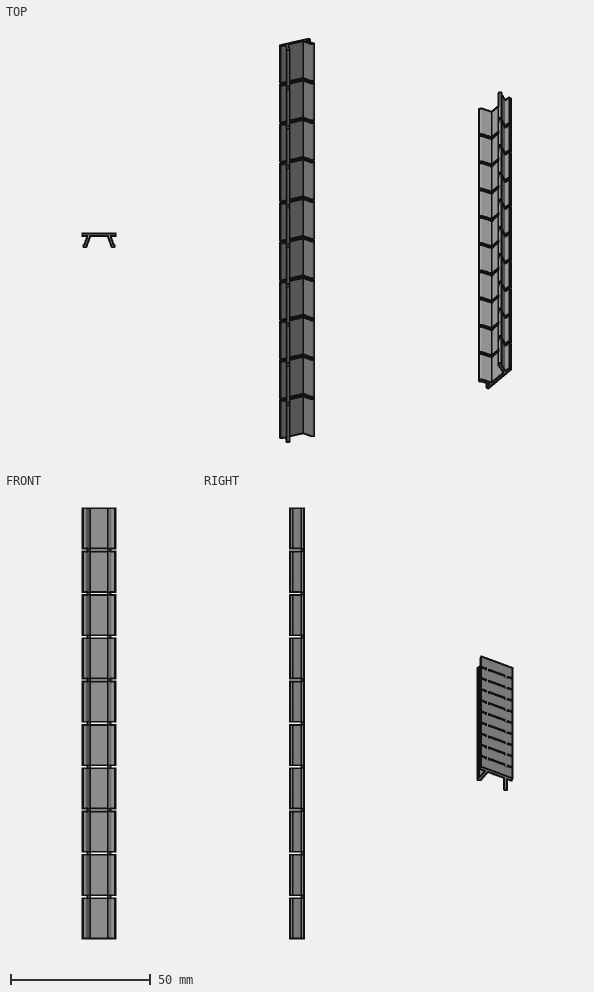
import cadquery as cq
import math

length = 154.0
plate_width = 12.0
depth = 5.1

wall = 1.0
leg_gap = 6.2
leg_splay = math.radians(20)
foot_slope = math.radians(20)
foot_span = 11.4
root_fillet = 0.23
bend_fillet = 0.3

segment_count = 10
slot_height = wall
segment_pitch = (length + slot_height) / segment_count

plate_front = -wall
leg_root_width = wall / math.cos(leg_splay)
leg_root_inner = leg_gap / 2
leg_root_outer = leg_root_inner + leg_root_width

tip_radius = wall / 2
tip_x = foot_span / 2 - tip_radius
tip_y = -depth + tip_radius
foot_direction = (math.cos(foot_slope), -math.sin(foot_slope))


def tip_point(forward, sideways):
    """Point of the tip circle, given along the foot and towards the plate in tip radii."""
    along_x, along_y = foot_direction
    return (
        tip_x + tip_radius * (forward * along_x - sideways * along_y),
        tip_y + tip_radius * (forward * along_y + sideways * along_x),
    )


def leg_foot_corner(leg_root_x, foot_point):
    """Point where a leg face starting at leg_root_x meets the foot face through foot_point."""
    leg_slope = math.tan(leg_splay)
    foot_x, foot_y = foot_point
    fall = math.tan(foot_slope)
    drop = (plate_front - foot_y + fall * (leg_root_x - foot_x)) / (1 - fall * leg_slope)
    return (leg_root_x + drop * leg_slope, plate_front - drop)


def edge_along_length(x, y):
    """Selector for the full-length edge that passes through (x, y)."""
    return cq.selectors.NearestToPointSelector((x, y, length / 2))


def make_plate():
    return cq.Workplane("XY").rect(plate_width, wall).extrude(length).translate((0, -wall / 2, 0))


def make_leg():
    """Leg and foot on the +X side."""
    upper_tangent = tip_point(0, 1)
    lower_tangent = tip_point(0, -1)
    inner_bend = leg_foot_corner(leg_root_inner, lower_tangent)
    leg = (
        cq.Workplane("XY")
        .moveTo(leg_root_inner, plate_front)
        .lineTo(leg_root_outer, plate_front)
        .lineTo(*leg_foot_corner(leg_root_outer, upper_tangent))
        .lineTo(*upper_tangent)
        .threePointArc(tip_point(1, 0), lower_tangent)
        .lineTo(*inner_bend)
        .close()
        .extrude(length)
    )
    return leg.edges(edge_along_length(*inner_bend)).fillet(bend_fillet)


def make_slot_cutter():
    """Slot across the whole profile that spares a bridge in the plate behind each leg."""
    cutter = cq.Workplane("XY").rect(plate_width, 2 * depth).extrude(slot_height)
    bridge_x = (leg_root_inner + leg_root_outer) / 2
    bridges = (
        cq.Workplane("XY")
        .pushPoints([(-bridge_x, plate_front / 2), (bridge_x, plate_front / 2)])
        .rect(leg_root_width, wall)
        .extrude(slot_height)
    )
    return cutter.cut(bridges)


leg = make_leg()
result = make_plate().union(leg).union(leg.mirror("YZ"))
for root_x in (-leg_root_outer, leg_root_outer):
    result = result.edges(edge_along_length(root_x, plate_front)).fillet(root_fillet)

slot_cutter = make_slot_cutter()
for slot in range(1, segment_count):
    slot_bottom = slot * segment_pitch - slot_height
    result = result.cut(slot_cutter.translate((0, 0, slot_bottom)))